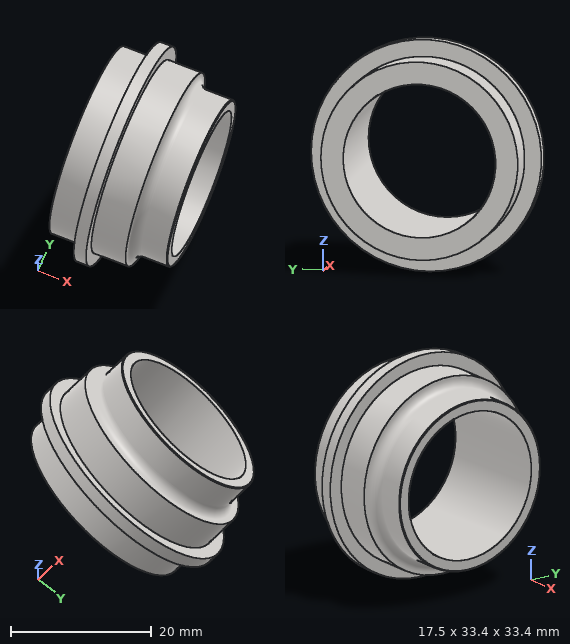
import cadquery as cq

bore_diameter = 22.1
spigot_diameter = 28.57
flange_diameter = 33.43
body_diameter = 29.46
nose_diameter = 25.4

total_length = 17.48
spigot_length = 4.75
flange_thickness = 1.9
body_length = 5.25

nose_root_radius = 1.52
nose_edge_chamfer = 0.13

flange_start = spigot_length
body_start = flange_start + flange_thickness
nose_start = body_start + body_length
nose_length = total_length - nose_start


def cylinder_along_x(start, length, diameter):
    """Solid cylinder on the X axis, running from start towards +X."""
    return cq.Workplane("YZ", origin=(start, 0, 0)).circle(diameter / 2).extrude(length)


def make_nose():
    """Nose cylinder with a small chamfer on its outer free edge."""
    nose = cylinder_along_x(nose_start, nose_length, nose_diameter)
    return nose.faces(">X").edges().chamfer(nose_edge_chamfer)


def make_nose_root():
    """Concave ring that blends the nose into the shoulder of the body."""
    nose_radius = nose_diameter / 2
    root_end = nose_start + nose_root_radius
    root_top = nose_radius + nose_root_radius
    arc_inset = nose_root_radius * (1 - 0.5 ** 0.5)
    profile = (
        cq.Workplane("XY")
        .moveTo(nose_start, 0)
        .lineTo(nose_start, root_top)
        .threePointArc((nose_start + arc_inset, nose_radius + arc_inset), (root_end, nose_radius))
        .lineTo(root_end, 0)
        .close()
    )
    return profile.revolve(360, (0, 0, 0), (1, 0, 0))


spigot = cylinder_along_x(0, spigot_length, spigot_diameter)
flange = cylinder_along_x(flange_start, flange_thickness, flange_diameter)
body = cylinder_along_x(body_start, body_length, body_diameter)
bore = cylinder_along_x(0, total_length, bore_diameter)

result = spigot.union(flange).union(body).union(make_nose()).union(make_nose_root()).cut(bore)